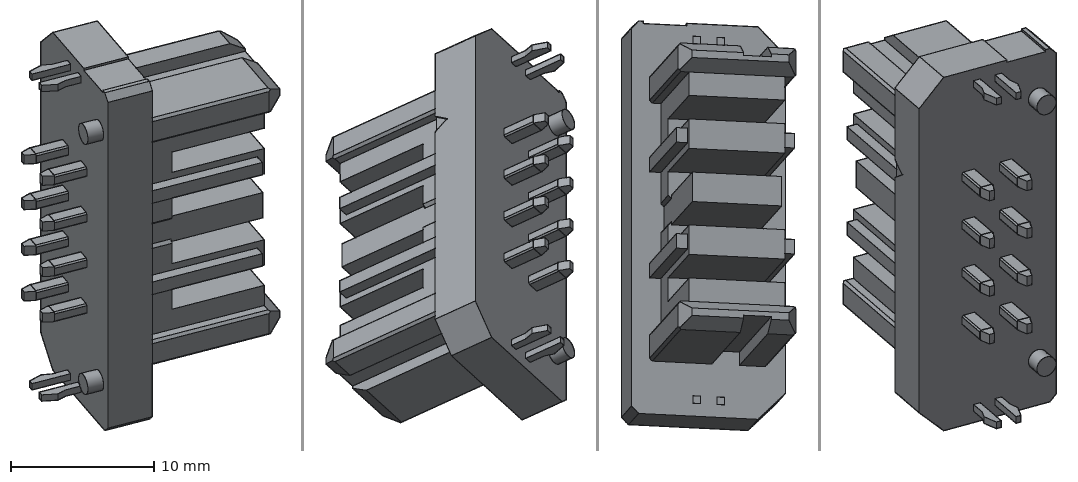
import cadquery as cq


FLANGE_WIDTH = 11.0
FLANGE_LENGTH = 28.18
FLANGE_THICKNESS = 3.45
KEY_CHAMFER = 1.97
CORNER_CHAMFER = 0.5
NOTCH_START = 1.55
NOTCH_WIDTH = 3.1
NOTCH_DEPTH = 0.17

MARK_LENGTH = 1.05
MARK_HEIGHT = 1.45
MARK_DEPTH = 0.15

TOWER_WIDTH = 8.43
TOWER_INNER_Z = 8.23
TOWER_OUTER_Z = 10.29
TOWER_TIP_Y = 14.23
TIP_HEIGHT = 1.18
TIP_INSET = 0.75
TOWER_CHAMFER = 0.2
GROOVE_START = -2.2
GROOVE_WIDTH = 1.97
GROOVE_DEPTH = 0.95

COMB_WIDTH = 6.82
COMB_END_Y = TOWER_TIP_Y - TIP_HEIGHT
CONTACT_PITCH = 3.8
SLOT_WIDTH = 1.7
SLOT_FLOOR_Y = 5.95
RECESS_DEPTH = 0.23
RIB_WIDTH = 1.05
RIB_END_Y = COMB_END_Y - 0.54

CONTACT_ROWS = 4
CONTACT_X = 1.5
CONTACT_WIDTH = 1.1
CONTACT_HEIGHT = 0.82
CONTACT_CHAMFER = 0.1
CONTACT_LENGTH = 3.27
CONTACT_TAPER = 0.8
CONTACT_SHOULDER_WIDTH = 1.0
CONTACT_TIP_WIDTH = 0.4
CONTACT_TIP_HEIGHT = 0.75

CLIP_Z = 12.9
CLIP_THICKNESS = 0.54
CLIP_INNER_X = 0.6
CLIP_OUTER_X = 1.13
CLIP_BULGE_X = 1.35
CLIP_TIP_X = 1.0
CLIP_BULGE_START_Y = -1.18
CLIP_BULGE_Y = -1.92
CLIP_TIP_Y = -3.0
CLIP_BACK_Y = FLANGE_THICKNESS + 0.05

PEG_DIAMETER = 1.52
PEG_LENGTH = 1.2
PEG_X = 4.03
PEG_Z = 10.43

SIDES = (-1, 1)
CONTACT_ROW_Z = [(row - (CONTACT_ROWS - 1) / 2) * CONTACT_PITCH for row in range(CONTACT_ROWS)]
HALF_WIDTH = FLANGE_WIDTH / 2


def block(x0, x1, y0, y1, z0, z1):
    """Box between two opposite corners."""
    return cq.Workplane("XY").box(x1 - x0, y1 - y0, z1 - z0, centered=False).translate((x0, y0, z0))


def make_flange():
    flange = block(-HALF_WIDTH, HALF_WIDTH, 0, FLANGE_THICKNESS, -FLANGE_LENGTH / 2, FLANGE_LENGTH / 2)
    flange = flange.edges("|Y and <X").chamfer(KEY_CHAMFER)
    flange = flange.edges("|Y and >X").chamfer(CORNER_CHAMFER)
    notch = block(
        NOTCH_START, NOTCH_START + NOTCH_WIDTH,
        0, FLANGE_THICKNESS,
        FLANGE_LENGTH / 2 - NOTCH_DEPTH, FLANGE_LENGTH / 2,
    )
    pin_one_z = CONTACT_ROW_Z[-1]
    mark = (
        cq.Workplane("YZ", origin=(-HALF_WIDTH, 0, 0))
        .moveTo(FLANGE_THICKNESS, pin_one_z - MARK_HEIGHT / 2)
        .lineTo(FLANGE_THICKNESS - MARK_LENGTH, pin_one_z)
        .lineTo(FLANGE_THICKNESS, pin_one_z + MARK_HEIGHT / 2)
        .close()
        .extrude(MARK_DEPTH)
    )
    return flange.cut(notch).cut(mark)


def tapered_outline(plane, low, high):
    """Tower outline between two sides, narrowing toward its tip along Y."""
    return (
        cq.Workplane(plane)
        .moveTo(low, FLANGE_THICKNESS)
        .lineTo(high, FLANGE_THICKNESS)
        .lineTo(high, COMB_END_Y)
        .lineTo(high - TIP_INSET, TOWER_TIP_Y)
        .lineTo(low + TIP_INSET, TOWER_TIP_Y)
        .lineTo(low, COMB_END_Y)
        .close()
    )


def make_upper_tower():
    half = TOWER_WIDTH / 2
    tower = block(-half, half, FLANGE_THICKNESS, TOWER_TIP_Y, TOWER_INNER_Z, TOWER_OUTER_Z)
    tower = tower.edges("|Y").chamfer(TOWER_CHAMFER)
    x_taper = tapered_outline("XY", -half, half).extrude(TOWER_OUTER_Z)
    z_taper = tapered_outline("ZY", TOWER_INNER_Z, TOWER_OUTER_Z).extrude(half, both=True)
    tower = tower.intersect(x_taper).intersect(z_taper)
    groove = block(
        GROOVE_START, GROOVE_START + GROOVE_WIDTH,
        FLANGE_THICKNESS, TOWER_TIP_Y,
        TOWER_OUTER_Z - GROOVE_DEPTH, TOWER_OUTER_Z,
    )
    return tower.cut(groove)


def make_comb():
    half = COMB_WIDTH / 2
    comb = block(-half, half, FLANGE_THICKNESS, COMB_END_Y, -TOWER_INNER_Z, TOWER_INNER_Z)
    for z in CONTACT_ROW_Z:
        slot = block(-half, half, SLOT_FLOOR_Y, COMB_END_Y, z - SLOT_WIDTH / 2, z + SLOT_WIDTH / 2)
        comb = comb.cut(slot)

    recess_half = (CONTACT_PITCH - SLOT_WIDTH) / 2
    for side in SIDES:
        recess = (
            cq.Workplane("XZ", origin=(0, FLANGE_THICKNESS, 0))
            .moveTo(side * half, -recess_half)
            .lineTo(side * half, recess_half)
            .lineTo(side * (half - RECESS_DEPTH), recess_half - RECESS_DEPTH)
            .lineTo(side * (half - RECESS_DEPTH), RECESS_DEPTH - recess_half)
            .close()
            .extrude(FLANGE_THICKNESS - SLOT_FLOOR_Y)
        )
        x_limits = sorted((side * (half - RECESS_DEPTH), side * half))
        finger_cut = block(*x_limits, SLOT_FLOOR_Y, COMB_END_Y, -recess_half, recess_half)
        comb = comb.cut(recess).cut(finger_cut)

    for z in (-CONTACT_PITCH, CONTACT_PITCH):
        rib = block(
            -TOWER_WIDTH / 2, TOWER_WIDTH / 2,
            FLANGE_THICKNESS, RIB_END_Y,
            z - RIB_WIDTH / 2, z + RIB_WIDTH / 2,
        )
        comb = comb.union(rib)
    return comb


def make_contact(x, z):
    taper_start = CONTACT_LENGTH - CONTACT_TAPER
    shank = (
        cq.Workplane("XZ")
        .center(x, z)
        .rect(CONTACT_WIDTH, CONTACT_HEIGHT)
        .extrude(taper_start)
        .edges("|Y")
        .chamfer(CONTACT_CHAMFER)
    )
    tip = (
        cq.Workplane("XY", origin=(x, 0, z))
        .moveTo(-CONTACT_SHOULDER_WIDTH / 2, -taper_start)
        .lineTo(CONTACT_SHOULDER_WIDTH / 2, -taper_start)
        .lineTo(CONTACT_TIP_WIDTH / 2, -CONTACT_LENGTH)
        .lineTo(-CONTACT_TIP_WIDTH / 2, -CONTACT_LENGTH)
        .close()
        .extrude(CONTACT_TIP_HEIGHT / 2, both=True)
    )
    return shank.union(tip)


def make_clip_leg(side, z):
    outline = [
        (CLIP_OUTER_X, CLIP_BACK_Y),
        (CLIP_OUTER_X, CLIP_BULGE_START_Y),
        (CLIP_BULGE_X, CLIP_BULGE_Y),
        (CLIP_TIP_X, CLIP_TIP_Y),
        (CLIP_INNER_X, CLIP_TIP_Y),
        (CLIP_INNER_X, CLIP_BACK_Y),
    ]
    return (
        cq.Workplane("XY", origin=(0, 0, z))
        .polyline([(side * x, y) for x, y in outline])
        .close()
        .extrude(CLIP_THICKNESS / 2, both=True)
    )


def make_peg(z):
    return cq.Workplane("XZ").center(PEG_X, z).circle(PEG_DIAMETER / 2).extrude(PEG_LENGTH)


upper_tower = make_upper_tower()
result = make_flange().union(make_comb()).union(upper_tower).union(upper_tower.mirror("XY"))

for side in SIDES:
    for contact_z in CONTACT_ROW_Z:
        result = result.union(make_contact(side * CONTACT_X, contact_z))
    for end in SIDES:
        result = result.union(make_clip_leg(side, end * CLIP_Z))

for end in SIDES:
    result = result.union(make_peg(end * PEG_Z))